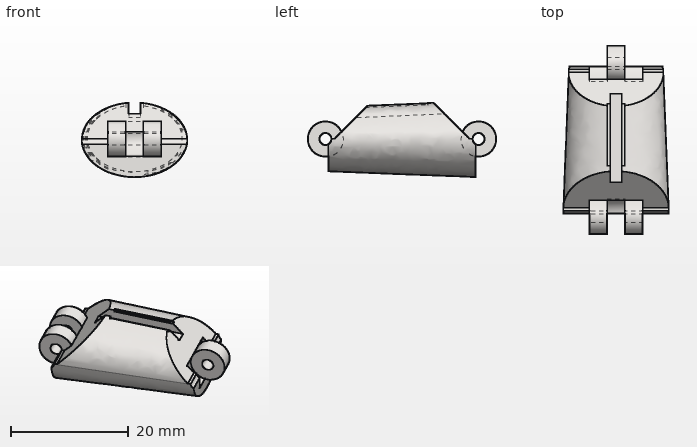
import cadquery as cq
import math

BODY_LENGTH = 25.0
FRONT_HALF_WIDTH = 9.0
FRONT_HALF_HEIGHT = 6.5
END_REDUCTION = 1.0

HINGE_OVERHANG = 0.5
KNUCKLE_RADIUS = 3.0
KNUCKLE_WIDTH = 3.0
PIN_RADIUS = 1.0

BEVEL_INSET = 1.0

SLOT_TILT = 2.5
SLOT_WIDTH = 2.0
SLOT_FLOOR_Z = 4.0
RECESS_WIDTH = 3.0
RECESS_FLOOR_Z = 5.65
RECESS_FRONT_Y = -4.4

HALF_LENGTH = BODY_LENGTH / 2
HINGE_Y = HALF_LENGTH + HINGE_OVERHANG
BEVEL_FOOT_Y = HALF_LENGTH - BEVEL_INSET
CLEARANCE = 1.0
CUT_HEIGHT = FRONT_HALF_HEIGHT + CLEARANCE
FULL_WIDTH = 2 * (FRONT_HALF_WIDTH + CLEARANCE)

FRONT = -1
BACK = 1


def x_cylinder(radius, width, center_x, side):
    """Cylinder on the pin axis of the front or back hinge."""
    return (
        cq.Workplane("YZ", origin=(center_x - width / 2, 0, 0))
        .center(side * HINGE_Y, 0)
        .circle(radius)
        .extrude(width)
    )


def x_prism(points, width):
    """Outline in the YZ plane, extruded symmetrically about X = 0."""
    return cq.Workplane("YZ").polyline(points).close().extrude(width / 2, both=True)


def tapered_body():
    return (
        cq.Workplane("XZ", origin=(0, -HALF_LENGTH, 0))
        .ellipse(FRONT_HALF_WIDTH, FRONT_HALF_HEIGHT)
        .workplane(offset=-BODY_LENGTH)
        .ellipse(FRONT_HALF_WIDTH - END_REDUCTION, FRONT_HALF_HEIGHT - END_REDUCTION)
        .loft(ruled=True)
    )


def bevel_cut(side):
    """Everything above Z = 0 and outside the 45 degree plane at one end."""
    outer_y = HALF_LENGTH + CLEARANCE
    points = [
        (side * BEVEL_FOOT_Y, 0),
        (side * outer_y, 0),
        (side * outer_y, CUT_HEIGHT),
        (side * (BEVEL_FOOT_Y - CUT_HEIGHT), CUT_HEIGHT),
    ]
    return x_prism(points, FULL_WIDTH)


def top_cut(width, floor_z, front_y, back_y):
    """Channel open at the top, its floor falling toward the back."""
    slope = math.tan(math.radians(SLOT_TILT))
    points = [
        (front_y, floor_z - slope * front_y),
        (back_y, floor_z - slope * back_y),
        (back_y, CUT_HEIGHT),
        (front_y, CUT_HEIGHT),
    ]
    return x_prism(points, width)


def add_hinge(body, side, knuckle_centers, relief_centers):
    """Clear the mating knuckles, add the knuckles, then bore for the pin."""
    for x in relief_centers:
        body = body.cut(x_cylinder(KNUCKLE_RADIUS, KNUCKLE_WIDTH, x, side))
    for x in knuckle_centers:
        body = body.union(x_cylinder(KNUCKLE_RADIUS, KNUCKLE_WIDTH, x, side))
    return body.cut(x_cylinder(PIN_RADIUS, FULL_WIDTH, 0, side))


result = tapered_body()
for end in (FRONT, BACK):
    result = result.cut(bevel_cut(end))
result = result.cut(top_cut(SLOT_WIDTH, SLOT_FLOOR_Z, -HALF_LENGTH, HALF_LENGTH))
result = result.cut(top_cut(RECESS_WIDTH, RECESS_FLOOR_Z, RECESS_FRONT_Y, HALF_LENGTH))

middle = [0]
outer_pair = [-KNUCKLE_WIDTH, KNUCKLE_WIDTH]
result = add_hinge(result, FRONT, outer_pair, middle)
result = add_hinge(result, BACK, middle, outer_pair)